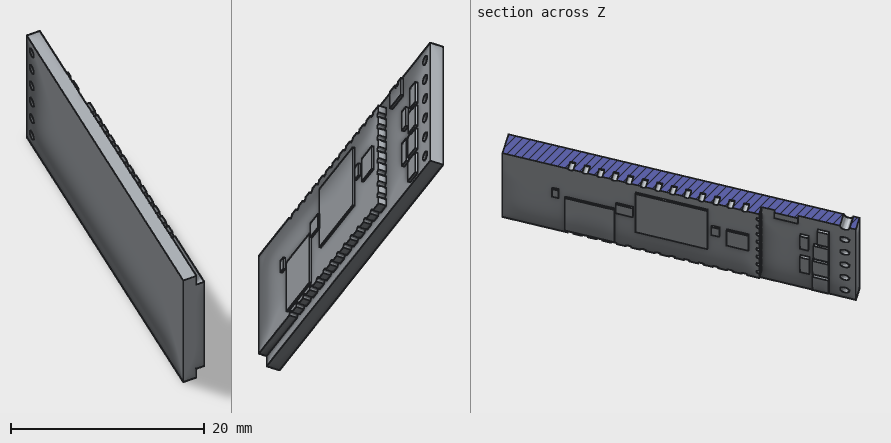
import cadquery as cq

BOARD_LENGTH = 37.6
BOARD_HEIGHT = 15.7
BOARD_THICKNESS = 1.5
LEFT = -BOARD_LENGTH / 2
RIGHT = BOARD_LENGTH / 2
TOP = BOARD_HEIGHT / 2

PIN_COUNT = 6
PIN_PITCH = 2.54
PIN_DIAMETER = 1.0
PIN_EDGE_DISTANCE = 1.2

MODULE_LENGTH = 27.5
MODULE_HEIGHT = 13.0
MODULE_THICKNESS = 0.9
MODULE_TOP_MARGIN = 1.35
MODULE_LEFT = RIGHT - MODULE_LENGTH
MODULE_TOP = TOP - MODULE_TOP_MARGIN
MODULE_BOTTOM = MODULE_TOP - MODULE_HEIGHT
MODULE_CENTRE_Z = (MODULE_TOP + MODULE_BOTTOM) / 2
MODULE_BACK = BOARD_THICKNESS + MODULE_THICKNESS

NOTCH_DIAMETER = 0.6
NOTCH_PITCH_X = 1.55
NOTCH_PITCH_Z = 1.52
LONG_EDGE_NOTCHES = 13
SHORT_EDGE_NOTCHES = 8
FIRST_NOTCH_OFFSET = 1.58

BOARD_CHIP_RISE = 0.3
MODULE_CHIP_RISE = 0.2

BOARD_CHIPS = [
    (2.87, 3.25, 1.2, 2.65),
    (2.87, 6.3, 1.6, 2.65),
    (2.87, 9.38, 1.72, 2.65),
    (2.87, 12.6, 1.72, 2.65),
    (5.03, 5.0, 0.9, 2.5),
    (4.93, 9.25, 1.0, 2.95),
    (6.15, 0.35, 0.7, 2.2),
    (6.85, 0.7, 0.65, 1.85),
    (7.5, 0.35, 1.18, 2.2),
]
MODULE_CHIPS = [
    (11.2, 6.0, 2.35, 3.0),
    (14.33, 6.0, 0.85, 1.6),
    (15.6, 2.95, 7.7, 7.7),
    (23.6, 6.0, 1.8, 1.8),
    (25.55, 7.2, 5.3, 6.5),
    (31.53, 6.0, 0.7, 1.5),
]


def slab(x_left, z_top, length, height, y_front, thickness):
    """Rectangular block given by its upper-left corner and its front face."""
    return cq.Workplane("XY").box(length, thickness, height, centered=False).translate(
        (x_left, y_front, z_top - height)
    )


def rods(points, diameter, y_front, thickness):
    """Cylinders along Y at the given (x, z) points."""
    return (
        cq.Workplane("XZ", origin=(0, y_front, 0))
        .pushPoints(points)
        .circle(diameter / 2)
        .extrude(-thickness)
    )


def make_board():
    board = slab(LEFT, TOP, BOARD_LENGTH, BOARD_HEIGHT, 0, BOARD_THICKNESS)
    first_z = -PIN_PITCH * (PIN_COUNT - 1) / 2
    pins = [(LEFT + PIN_EDGE_DISTANCE, first_z + i * PIN_PITCH) for i in range(PIN_COUNT)]
    return board.cut(rods(pins, PIN_DIAMETER, 0, BOARD_THICKNESS))


def make_module():
    module = slab(
        MODULE_LEFT, MODULE_TOP, MODULE_LENGTH, MODULE_HEIGHT, BOARD_THICKNESS, MODULE_THICKNESS
    )
    notches = []
    for i in range(LONG_EDGE_NOTCHES):
        x = MODULE_LEFT + FIRST_NOTCH_OFFSET + i * NOTCH_PITCH_X
        notches += [(x, MODULE_TOP), (x, MODULE_BOTTOM)]
    first_z = MODULE_CENTRE_Z - NOTCH_PITCH_Z * (SHORT_EDGE_NOTCHES - 1) / 2
    for i in range(SHORT_EDGE_NOTCHES):
        notches.append((MODULE_LEFT, first_z + i * NOTCH_PITCH_Z))
    return module.cut(rods(notches, NOTCH_DIAMETER, BOARD_THICKNESS, MODULE_THICKNESS))


def add_chips(body, chips, y_front, rise):
    for from_left, from_top, length, height in chips:
        body = body.union(slab(LEFT + from_left, TOP - from_top, length, height, y_front, rise))
    return body


result = make_board().union(make_module())
result = add_chips(result, BOARD_CHIPS, BOARD_THICKNESS, BOARD_CHIP_RISE)
result = add_chips(result, MODULE_CHIPS, MODULE_BACK, MODULE_CHIP_RISE)